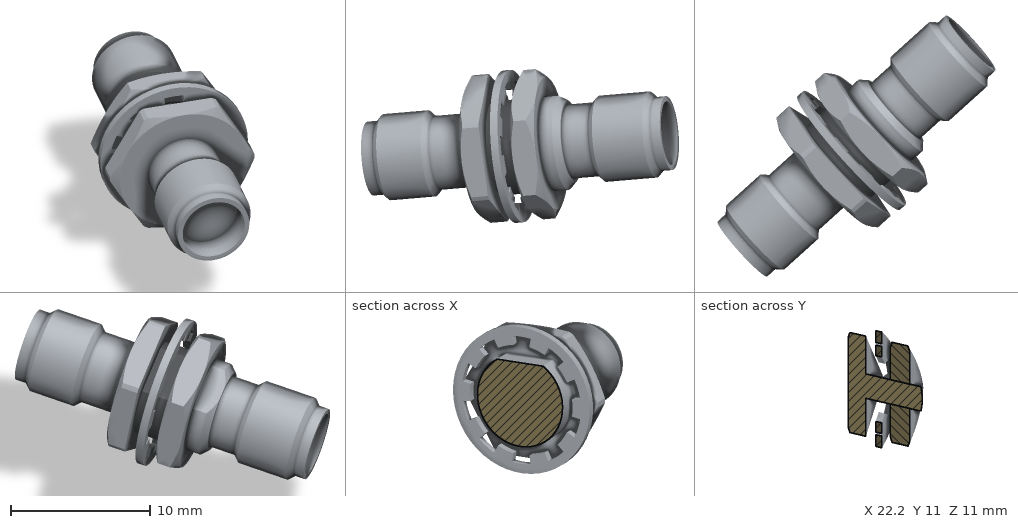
import cadquery as cq
import math


length = 22.22
left_end = -length / 2
right_end = length / 2
left_barrel_start = -10.35
left_barrel_end = -5.73
thread_start = -3.8
flange_start = 1.62
flange_end = 3.22
right_barrel_start = 6.1
right_barrel_end = 10.3

neck_radius = 2.67
barrel_radius = 3.1
barrel_chamfer = barrel_radius - neck_radius
thread_radius = 3.45
thread_chamfer = 0.49
flat_height = 2.9
bore_radius = 2.3
bore_depth = 1.93

across_flats = 9.53
hex_sides = 6
hex_bevel_angle = 30.0
flange_corner_radius = 5.4

nut_start = -2.3
nut_thickness = 1.75
nut_minor_radius = 3.0

washer_start = 0.2
washer_thickness = 0.55
washer_diameter = 11.0
tooth_tip_radius = 4.13
tooth_root_radius = 4.8
tooth_count = 10
tooth_pitch = 360 / tooth_count
gap_angle = tooth_pitch / 2

inscribed_radius = across_flats / 2
hex_corner_radius = inscribed_radius / math.cos(math.pi / hex_sides)


def cylinder(start, thickness, radius):
    """Cylinder about the X axis."""
    return cq.Workplane("YZ", origin=(start, 0, 0)).circle(radius).extrude(thickness)


def revolved(profile):
    """Solid of revolution about X from closed (x, radius) points."""
    return cq.Workplane("XY").polyline(profile).close().revolve(360, (0, 0, 0), (1, 0, 0))


def hex_prism(start, thickness):
    """Hexagon with flats facing +Z and -Z."""
    return (
        cq.Workplane("YZ", origin=(start, 0, 0))
        .polygon(hex_sides, 2 * hex_corner_radius)
        .extrude(thickness)
    )


def hex_envelope(start, thickness, radius, bevel_start, bevel_end):
    """Turned blank that bevels the hexagon corners on the chosen end faces."""
    bevel = (radius - inscribed_radius) * math.tan(math.radians(hex_bevel_angle))
    end = start + thickness
    profile = [(start, 0)]
    if bevel_start:
        profile += [(start, inscribed_radius), (start + bevel, radius)]
    else:
        profile += [(start, radius)]
    if bevel_end:
        profile += [(end - bevel, radius), (end, inscribed_radius)]
    else:
        profile += [(end, radius)]
    profile += [(end, 0)]
    return revolved(profile)


def make_barrel(start, end):
    """Raised coupling barrel with 45 degree shoulders."""
    return cylinder(start, end - start, barrel_radius).faces("<X or >X").chamfer(barrel_chamfer)


def make_threaded_section():
    """Thread cylinder with a lead-in chamfer and one flat on its +Z side."""
    section_length = flange_start - thread_start
    section = cylinder(thread_start, section_length, thread_radius)
    section = section.faces("<X").chamfer(thread_chamfer)
    above_flat = cq.Workplane("XY").box(
        section_length, 2 * thread_radius, thread_radius, centered=(False, True, False)
    ).translate((thread_start, 0, flat_height))
    return section.cut(above_flat)


def make_flange():
    """Hex flange with truncated corners, bevelled on its +X face only."""
    thickness = flange_end - flange_start
    envelope = hex_envelope(flange_start, thickness, flange_corner_radius, False, True)
    return hex_prism(flange_start, thickness).intersect(envelope)


def make_connector():
    body = (
        cylinder(left_end, length, neck_radius)
        .union(make_barrel(left_barrel_start, left_barrel_end))
        .union(make_barrel(right_barrel_start, right_barrel_end))
        .union(make_threaded_section())
        .union(make_flange())
    )
    for bore_start in (left_end, right_end - bore_depth):
        body = body.cut(cylinder(bore_start, bore_depth, bore_radius))
    return body


def make_nut():
    """Hex nut with countersunk hole, closely fitting the flatted thread."""
    nut_end = nut_start + nut_thickness
    countersink = thread_radius - nut_minor_radius
    hole = revolved([
        (nut_start, 0),
        (nut_start, thread_radius),
        (nut_start + countersink, nut_minor_radius),
        (nut_end - countersink, nut_minor_radius),
        (nut_end, thread_radius),
        (nut_end, 0),
    ])
    envelope = hex_envelope(nut_start, nut_thickness, hex_corner_radius, True, True)
    blank = hex_prism(nut_start, nut_thickness).intersect(envelope)
    return blank.cut(hole).cut(make_threaded_section())


def make_tooth_gap():
    """Radial gap between two washer teeth, centred on +Z."""
    half_angle = math.radians(gap_angle / 2)
    side = math.sin(half_angle)
    rise = math.cos(half_angle)
    return (
        cq.Workplane("YZ", origin=(washer_start, 0, 0))
        .moveTo(0, 0)
        .lineTo(tooth_root_radius * side, tooth_root_radius * rise)
        .threePointArc(
            (0, tooth_root_radius),
            (-tooth_root_radius * side, tooth_root_radius * rise),
        )
        .close()
        .extrude(washer_thickness)
    )


def make_washer():
    """Flat lock washer with teeth pointing inwards."""
    ring = cylinder(washer_start, washer_thickness, washer_diameter / 2)
    ring = ring.cut(cylinder(washer_start, washer_thickness, tooth_tip_radius))
    gap = make_tooth_gap()
    for index in range(tooth_count):
        ring = ring.cut(gap.rotate((0, 0, 0), (1, 0, 0), index * tooth_pitch))
    return ring


connector = make_connector()
nut = make_nut()
washer = make_washer()

result = cq.Compound.makeCompound([connector.val(), nut.val(), washer.val()])